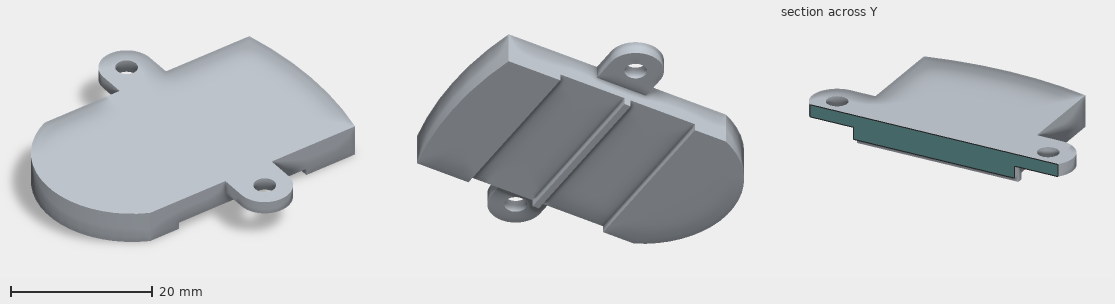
import cadquery as cq

body_width = 26.0
body_height = 5.0
back_tip_y = 20.0
front_tip_y = back_tip_y - 45.3
back_arc_rise = 1.55
front_arc_rise = 8.3

ear_width = 8.0
ear_thickness = 2.0
hole_spacing = 34.0
hole_diameter = 3.2

channel_depth = 1.1
channel_length = 10.5
rib_thickness = 1.0
rib_y = -1.0


def make_body():
    half_width = body_width / 2
    back_corner_y = back_tip_y - back_arc_rise
    front_corner_y = front_tip_y + front_arc_rise
    return (
        cq.Workplane("XY")
        .moveTo(-half_width, front_corner_y)
        .threePointArc((0, front_tip_y), (half_width, front_corner_y))
        .lineTo(half_width, back_corner_y)
        .threePointArc((0, back_tip_y), (-half_width, back_corner_y))
        .close()
        .extrude(body_height)
    )


def make_ears():
    return (
        cq.Workplane("XY", origin=(0, 0, body_height - ear_thickness))
        .slot2D(hole_spacing + ear_width, ear_width)
        .extrude(ear_thickness)
    )


def make_ear_holes():
    return (
        cq.Workplane("XY")
        .pushPoints([(-hole_spacing / 2, 0), (hole_spacing / 2, 0)])
        .circle(hole_diameter / 2)
        .extrude(body_height)
    )


def make_channels():
    channel_offset = (rib_thickness + channel_length) / 2
    return (
        cq.Workplane("XY")
        .pushPoints([(0, rib_y - channel_offset), (0, rib_y + channel_offset)])
        .rect(body_width, channel_length)
        .extrude(channel_depth)
    )


result = make_body().union(make_ears()).cut(make_ear_holes()).cut(make_channels())